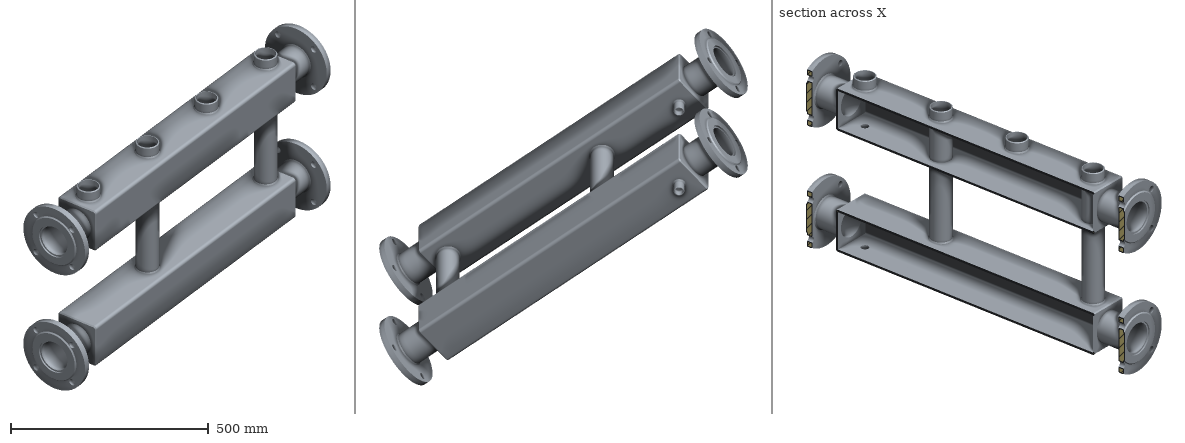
import cadquery as cq
import math

TOTAL_LENGTH = 1046.0
HEADER_SPACING = 350.0
HEADER_LENGTH = 848.0
HEADER_SIDE = 120.0
HEADER_WALL = 4.0
HEADER_CORNER_RADIUS = 8.0
HEADER_END_CHAMFER = 3.0

FLANGE_DIAMETER = 195.0
FLANGE_THICKNESS = 20.0
FACE_RECESS_DIAMETER = 91.0
FACE_RECESS_DEPTH = 4.0
RAISED_FACE_DIAMETER = 140.0
RAISED_FACE_HEIGHT = 3.0
RAISED_FACE_TIP_DIAMETER = RAISED_FACE_DIAMETER - 2 * RAISED_FACE_HEIGHT
BOLT_CIRCLE_DIAMETER = 160.0
BOLT_HOLE_DIAMETER = 18.0
BOLT_COUNT = 4

NECK_DIAMETER = 89.0
NECK_BORE = 82.0

PIPE_DIAMETER = 60.0
PIPE_BORE = 53.0
PIPE_TIP_DIAMETER = 56.0
PIPE_PITCH = 250.0
PIPE_COUNT = 4
STUB_HEIGHT = 30.0
RISER_INDICES = (1, 3)

DRAIN_DIAMETER = 27.0
DRAIN_BORE = 22.0
DRAIN_TIP_DIAMETER = 25.0
DRAIN_LENGTH = 30.0

WELD_LEG = 3.0

UPPER_Z = HEADER_SPACING / 2
LOWER_Z = -UPPER_Z
HALF_SIDE = HEADER_SIDE / 2
HALF_HEADER = HEADER_LENGTH / 2
HALF_LENGTH = TOTAL_LENGTH / 2
FLANGE_BACK = HALF_LENGTH - FLANGE_THICKNESS
PIPE_YS = [(i - (PIPE_COUNT - 1) / 2) * PIPE_PITCH for i in range(PIPE_COUNT)]
RISER_YS = [PIPE_YS[i] for i in RISER_INDICES]
STUB_YS = [y for y in PIPE_YS if y not in RISER_YS]
DRAIN_Y = PIPE_YS[0]

UP = cq.Vector(0, 0, 1)
DOWN = cq.Vector(0, 0, -1)


def rod(diameter, length, start, direction):
    """Solid cylinder from the start point along the direction."""
    return cq.Workplane(cq.Solid.makeCylinder(diameter / 2, length, start, direction))


def tapered_rod(diameter, tip_diameter, length, start, direction):
    """Cylinder whose far end has a 45 degree chamfer down to the tip diameter."""
    chamfer = (diameter - tip_diameter) / 2
    tip = cq.selectors.DirectionMinMaxSelector(direction, True)
    return rod(diameter, length, start, direction).faces(tip).chamfer(chamfer)


def weld(diameter, start, direction):
    """Conical bead around a pipe, widest at the start point."""
    radius = diameter / 2
    return cq.Workplane(cq.Solid.makeCone(radius + WELD_LEG, radius, WELD_LEG, start, direction))


def header(z):
    """Closed square tube with rounded long edges and chamfered ends."""
    outside = (
        cq.Workplane()
        .box(HEADER_SIDE, HEADER_LENGTH, HEADER_SIDE)
        .edges("|Y")
        .fillet(HEADER_CORNER_RADIUS)
        .faces("<Y or >Y")
        .chamfer(HEADER_END_CHAMFER)
    )
    inside_side = HEADER_SIDE - 2 * HEADER_WALL
    cavity = (
        cq.Workplane()
        .box(inside_side, HEADER_LENGTH - 2 * HEADER_WALL, inside_side)
        .edges("|Y")
        .fillet(HEADER_CORNER_RADIUS - HEADER_WALL)
    )
    return outside.cut(cavity).translate((0, 0, z))


def flange(side, z):
    """Raised-face flange blank with bolt holes straddling the vertical; side is +1 or -1 along Y."""
    outward = cq.Vector(0, side, 0)
    back = cq.Vector(0, side * FLANGE_BACK, z)
    body = rod(FLANGE_DIAMETER, FLANGE_THICKNESS - RAISED_FACE_HEIGHT, back, outward)
    raised_face = tapered_rod(
        RAISED_FACE_DIAMETER, RAISED_FACE_TIP_DIAMETER, FLANGE_THICKNESS, back, outward
    )
    recess_floor = back + outward * (FLANGE_THICKNESS - FACE_RECESS_DEPTH)
    body = body.union(raised_face)
    body = body.cut(rod(FACE_RECESS_DIAMETER, FACE_RECESS_DEPTH, recess_floor, outward))
    for i in range(BOLT_COUNT):
        angle = 2 * math.pi * (i + 0.5) / BOLT_COUNT
        offset = cq.Vector(math.cos(angle), 0, math.sin(angle)) * (BOLT_CIRCLE_DIAMETER / 2)
        body = body.cut(rod(BOLT_HOLE_DIAMETER, FLANGE_THICKNESS, back + offset, outward))
    return body


def add_end(body, side, z):
    """Add a neck pipe and its flange to one end of a header, bored through into the cavity."""
    outward = cq.Vector(0, side, 0)
    header_end = cq.Vector(0, side * HALF_HEADER, z)
    flange_back = cq.Vector(0, side * FLANGE_BACK, z)
    inner_end = header_end - outward * HEADER_WALL
    neck_length = FLANGE_BACK - HALF_HEADER + HEADER_WALL
    body = body.union(flange(side, z))
    body = body.union(weld(NECK_DIAMETER, flange_back, outward * -1))
    body = body.union(rod(NECK_DIAMETER, neck_length, inner_end, outward))
    return body.cut(rod(NECK_BORE, neck_length + FLANGE_THICKNESS, inner_end, outward))


def add_pipe(body, y, bottom_z):
    """Add a vertical pipe from the given height up to the stub tops."""
    header_top = UPPER_Z + HALF_SIDE
    start = cq.Vector(0, y, bottom_z)
    length = header_top + STUB_HEIGHT - bottom_z
    body = body.union(weld(PIPE_DIAMETER, cq.Vector(0, y, header_top), UP))
    body = body.union(tapered_rod(PIPE_DIAMETER, PIPE_TIP_DIAMETER, length, start, UP))
    return body.cut(rod(PIPE_BORE, length, start, UP))


def add_riser(body, y):
    """Add a pipe that crosses the upper header and opens into the lower one."""
    lower_top = LOWER_Z + HALF_SIDE
    body = body.union(weld(PIPE_DIAMETER, cq.Vector(0, y, lower_top), UP))
    body = body.union(weld(PIPE_DIAMETER, cq.Vector(0, y, UPPER_Z - HALF_SIDE), DOWN))
    return add_pipe(body, y, lower_top - HEADER_WALL)


def add_drain(body, z):
    """Add a drain nipple opening into the header at the given height."""
    underside = cq.Vector(0, DRAIN_Y, z - HALF_SIDE)
    start = underside + UP * HEADER_WALL
    length = DRAIN_LENGTH + HEADER_WALL
    body = body.union(weld(DRAIN_DIAMETER, underside, DOWN))
    body = body.union(tapered_rod(DRAIN_DIAMETER, DRAIN_TIP_DIAMETER, length, start, DOWN))
    return body.cut(rod(DRAIN_BORE, length, start, DOWN))


result = header(UPPER_Z).union(header(LOWER_Z))
for header_z in (UPPER_Z, LOWER_Z):
    for end_side in (-1, 1):
        result = add_end(result, end_side, header_z)
    result = add_drain(result, header_z)
for stub_y in STUB_YS:
    result = add_pipe(result, stub_y, UPPER_Z + HALF_SIDE - HEADER_WALL)
for riser_y in RISER_YS:
    result = add_riser(result, riser_y)